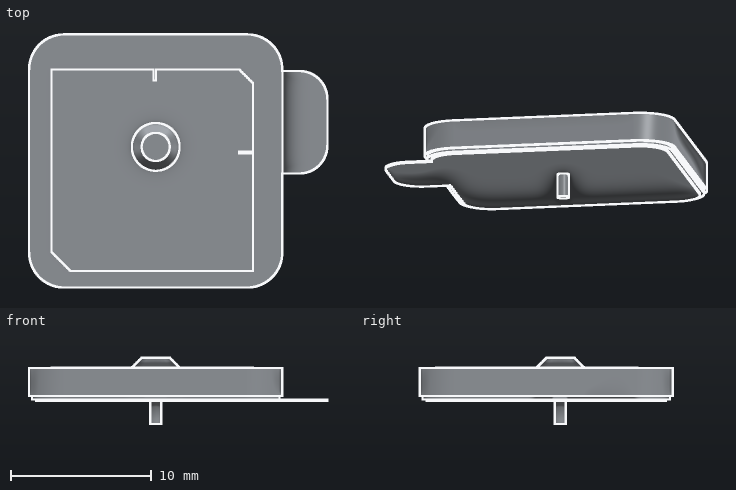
import cadquery as cq

body_side = 18.0
body_height = 2.0
body_corner_radius = 2.5

spacer_inset = 0.2
spacer_thickness = 0.25
liner_inset = 0.5
liner_thickness = 0.1

tab_end_x = 12.2
tab_width = 7.3
tab_centre_y = 2.75
tab_corner_radius = 2.0

patch_side = 14.3
patch_thickness = 0.02
patch_centre_x = -0.25
patch_centre_y = -0.67
patch_large_clip = 1.35
patch_small_clip = 0.95
slot_width = 0.15
top_slot_x = -0.07
top_slot_length = 0.78
side_slot_y = 0.6
side_slot_length = 1.0

feed_y = 1.0
head_base_diameter = 3.4
head_top_diameter = 2.0
head_height = (head_base_diameter - head_top_diameter) / 2
pin_diameter = 0.8
pin_length = 1.65

spacer_bottom_z = -spacer_thickness
liner_bottom_z = spacer_bottom_z - liner_thickness
patch_top_z = body_height + patch_thickness


def rounded_square(inset, bottom_z, thickness):
    """Square plate concentric with the body, with its outline moved in by inset."""
    side = body_side - 2 * inset
    plate = cq.Workplane("XY", origin=(0, 0, bottom_z)).rect(side, side).extrude(thickness)
    return plate.edges("|Z").fillet(body_corner_radius - inset)


def pull_tab():
    """Flat tab running from the body centre line out past the +X side."""
    tab = (
        cq.Workplane("XY", origin=(tab_end_x / 2, tab_centre_y, liner_bottom_z))
        .rect(tab_end_x, tab_width)
        .extrude(liner_thickness)
    )
    return tab.edges("|Z and >X").fillet(tab_corner_radius)


def slot_cutter(centre_x, centre_y, size_x, size_y):
    """Block that cuts one slot through the patch thickness."""
    plane = cq.Workplane("XY", origin=(centre_x, centre_y, body_height))
    return plane.rect(size_x, size_y).extrude(patch_thickness)


def patch():
    """Square patch with clipped corners and slots open to its +Y and +X edges."""
    left = patch_centre_x - patch_side / 2
    right = patch_centre_x + patch_side / 2
    bottom = patch_centre_y - patch_side / 2
    top = patch_centre_y + patch_side / 2
    outline = [
        (left, top),
        (right - patch_small_clip, top),
        (right, top - patch_small_clip),
        (right, bottom),
        (left + patch_large_clip, bottom),
        (left, bottom + patch_large_clip),
    ]
    plate = cq.Workplane("XY", origin=(0, 0, body_height)).polyline(outline).close().extrude(patch_thickness)
    top_slot = slot_cutter(top_slot_x, top - top_slot_length / 2, slot_width, top_slot_length)
    side_slot = slot_cutter(right - side_slot_length / 2, side_slot_y, side_slot_length, slot_width)
    return plate.cut(top_slot).cut(side_slot)


def feed_head():
    """Truncated cone standing on the patch."""
    base = cq.Workplane("XY", origin=(0, feed_y, patch_top_z)).circle(head_base_diameter / 2)
    return base.workplane(offset=head_height).circle(head_top_diameter / 2).loft()


def feed_pin():
    """Round pin hanging below the liner."""
    return cq.Workplane("XY", origin=(0, feed_y, liner_bottom_z)).circle(pin_diameter / 2).extrude(-pin_length)


body = rounded_square(0, 0, body_height)
spacer = rounded_square(spacer_inset, spacer_bottom_z, spacer_thickness)
liner = rounded_square(liner_inset, liner_bottom_z, liner_thickness).union(pull_tab())

result = body.union(spacer).union(liner).union(patch()).union(feed_head()).union(feed_pin())